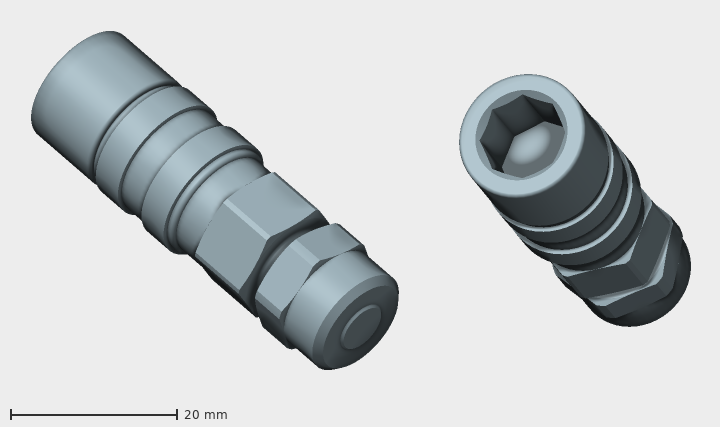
import cadquery as cq
import math

LENGTH = 51.0

SLEEVE_D = 15.8
SLEEVE_END = 10.8
SLEEVE_ROUND = 0.45

BODY_D = 14.0

GRIP_D = 15.1
GRIP_START = SLEEVE_END
GRIP_END = 25.4
GRIP_ROUND = (GRIP_D - BODY_D) / 2
COLLAR_D = 16.15
COLLAR_WIDTH = 4.2
COLLAR_LEAN = 0.1
COLLAR_STARTS = (12.0, 20.2)

HEX_SIDES = 6
HEX_FLATS = 14.0
HEX_END_D = 13.85
HEX_CONE_LENGTH = 0.3
BODY_HEX_START = 29.4
BODY_HEX_END = 37.85
BODY_HEX_CORNER_D = 15.8
BODY_HEX_TURN = 7.7
NUT_HEX_START = 39.75
NUT_HEX_END = 44.75
NUT_HEX_CORNER_D = 15.55
NUT_HEX_TURN = 19.0

NECK_D = 10.4
NECK_FILLET = 0.4

BARREL_D = BODY_D
BARREL_END = 50.7
BARREL_CHAMFER = 0.9
TIP_BASE_D = 6.7
TIP_END_D = 6.05

SOCKET_CORNER_D = 10.7
SOCKET_SIDES = 8
SOCKET_DEPTH = 10.2
LEAD_IN_D = 11.55
LEAD_IN_TAPER = 45.0


def cylinder(start, end, diameter):
    return cq.Workplane("YZ", origin=(start, 0, 0)).circle(diameter / 2).extrude(end - start)


def cone(start, end, start_d, end_d):
    return cq.Workplane("XY").add(
        cq.Solid.makeCone(start_d / 2, end_d / 2, end - start, cq.Vector(start, 0, 0), cq.Vector(1, 0, 0))
    )


def sleeve():
    return cylinder(0, SLEEVE_END, SLEEVE_D).edges().fillet(SLEEVE_ROUND)


def collar(start):
    end = start + COLLAR_WIDTH
    return (
        cone(start, start + COLLAR_LEAN, GRIP_D, COLLAR_D)
        .union(cylinder(start + COLLAR_LEAN, end - COLLAR_LEAN, COLLAR_D))
        .union(cone(end - COLLAR_LEAN, end, COLLAR_D, GRIP_D))
    )


def grip():
    ring = cylinder(GRIP_START, GRIP_END, GRIP_D).edges().fillet(GRIP_ROUND)
    for start in COLLAR_STARTS:
        ring = ring.union(collar(start))
    return ring


def hexagon(start, end, corner_d, turn):
    """Hexagonal prism along X, turned by `turn` degrees from corners on the Y axis."""
    prism = (
        cq.Workplane("YZ", origin=(start, 0, 0))
        .polygon(HEX_SIDES, HEX_FLATS / math.cos(math.pi / HEX_SIDES))
        .extrude(end - start)
        .rotate((0, 0, 0), (1, 0, 0), -turn)
    )
    cone_in = start + HEX_CONE_LENGTH
    cone_out = end - HEX_CONE_LENGTH
    envelope = (
        cylinder(cone_in, cone_out, corner_d)
        .union(cone(start, cone_in, HEX_END_D, corner_d))
        .union(cone(cone_out, end, corner_d, HEX_END_D))
    )
    return prism.intersect(envelope)


def neck():
    """Groove floor with a concave fillet running up to each hexagon."""
    floor = NECK_D / 2
    wall = floor + NECK_FILLET
    bend = NECK_FILLET * (1 - math.sqrt(0.5))
    return (
        cq.Workplane("XY")
        .moveTo(BODY_HEX_END, 0)
        .lineTo(BODY_HEX_END, wall)
        .threePointArc((BODY_HEX_END + bend, floor + bend), (BODY_HEX_END + NECK_FILLET, floor))
        .lineTo(NUT_HEX_START - NECK_FILLET, floor)
        .threePointArc((NUT_HEX_START - bend, floor + bend), (NUT_HEX_START, wall))
        .lineTo(NUT_HEX_START, 0)
        .close()
        .revolve(360, (0, 0, 0), (1, 0, 0))
    )


def barrel():
    body = cylinder(NUT_HEX_END, BARREL_END, BARREL_D).faces(">X").chamfer(BARREL_CHAMFER)
    return body.union(cone(BARREL_END, LENGTH, TIP_BASE_D, TIP_END_D))


def socket():
    bore = cq.Workplane("YZ").polygon(SOCKET_SIDES, SOCKET_CORNER_D).extrude(SOCKET_DEPTH)
    lead_in_depth = LEAD_IN_D / 2 / math.tan(math.radians(LEAD_IN_TAPER))
    return bore.union(cone(0, lead_in_depth, LEAD_IN_D, 0))


result = (
    cylinder(SLEEVE_END, BODY_HEX_START, BODY_D)
    .union(sleeve())
    .union(grip())
    .union(hexagon(BODY_HEX_START, BODY_HEX_END, BODY_HEX_CORNER_D, BODY_HEX_TURN))
    .union(neck())
    .union(hexagon(NUT_HEX_START, NUT_HEX_END, NUT_HEX_CORNER_D, NUT_HEX_TURN))
    .union(barrel())
    .cut(socket())
)